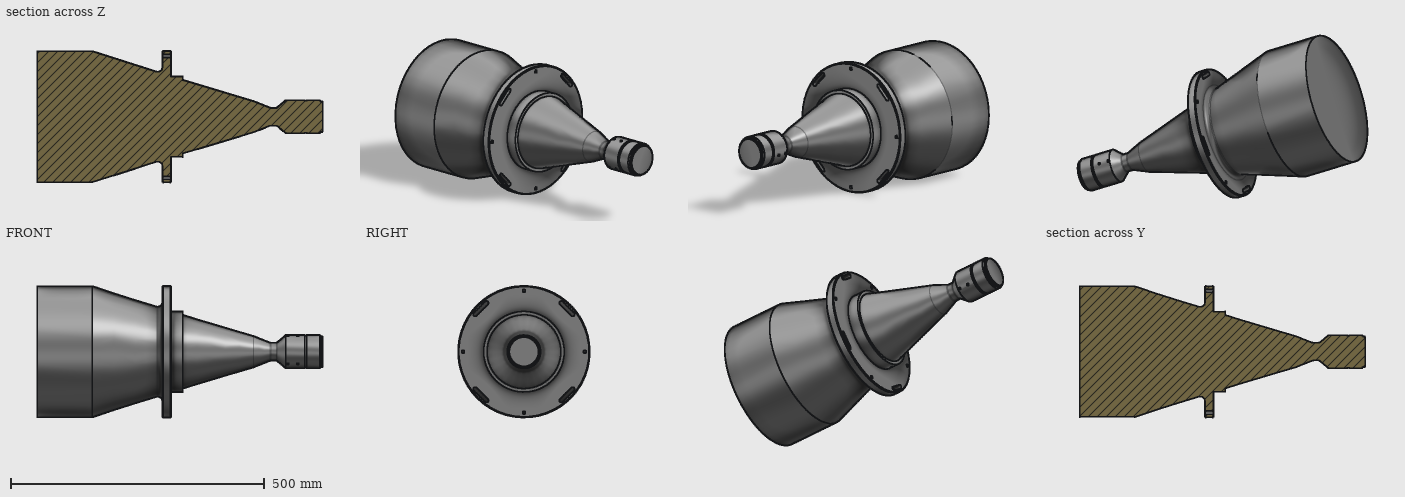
import cadquery as cq
import math

total_length = 564.0

drum_diameter = 259.0
drum_radius = drum_diameter / 2
drum_end = 109.5
waist_radius = 89.0
waist_start = 235.5

flange_diameter = 260.0
flange_radius = flange_diameter / 2
flange_start = 247.0
flange_thickness = 17.5
flange_chamfer = 1.5
waist_fillet = 8.5
flange_end = flange_start + flange_thickness

collar_radius = 79.5
collar_end = 287.5
long_cone_start_radius = 73.0
long_cone_end_radius = 31.0
long_cone_end = 427.0

neck_diameter = 35.5
neck_radius = neck_diameter / 2
neck_start = 460.0
neck_end = 472.5
neck_front_fillet = 5.0
neck_back_fillet = 2.0

knob_diameter = 66.0
knob_radius = knob_diameter / 2
knob_start = 490.5
knob_shoulder = 557.0
tip_radius = 30.5
tip_chamfer = 1.5
groove_start = 528.0
groove_width = 3.5
groove_depth = 1.0

flange_hole_circle_radius = 120.0
slot_width = 8.0
slot_length = 39.5
slot_angles = (45, 135, 225, 315)
pin_hole_diameter = 5.5
pin_hole_angles = (0, 90, 180, 270)

dimple_diameter = 4.0
dimple_depth = 3.5
dimple_ring_positions = (494.0, 513.5)
dimple_angles = (107, 227, 347)


def turned_body():
    """Solid of revolution about X, from the drum to the knob."""
    arc_middle = waist_fillet * math.sqrt(0.5)
    fillet_start = flange_start - waist_fillet
    fillet_top = waist_radius + waist_fillet
    knob_step = knob_radius - tip_radius
    profile = (
        cq.Workplane("XY")
        .moveTo(0, 0)
        .lineTo(0, drum_radius)
        .lineTo(drum_end, drum_radius)
        .lineTo(waist_start, waist_radius)
        .lineTo(fillet_start, waist_radius)
        .threePointArc((fillet_start + arc_middle, fillet_top - arc_middle), (flange_start, fillet_top))
        .lineTo(flange_start, flange_radius - flange_chamfer)
        .lineTo(flange_start + flange_chamfer, flange_radius)
        .lineTo(flange_end - flange_chamfer, flange_radius)
        .lineTo(flange_end, flange_radius - flange_chamfer)
        .lineTo(flange_end, collar_radius)
        .lineTo(collar_end, collar_radius)
        .lineTo(collar_end, long_cone_start_radius)
        .lineTo(long_cone_end, long_cone_end_radius)
        .lineTo(neck_start, neck_radius)
        .lineTo(neck_end, neck_radius)
        .lineTo(knob_start, knob_radius)
        .lineTo(groove_start, knob_radius)
        .lineTo(groove_start, knob_radius - groove_depth)
        .lineTo(groove_start + groove_width, knob_radius - groove_depth)
        .lineTo(groove_start + groove_width, knob_radius)
        .lineTo(knob_shoulder, knob_radius)
        .lineTo(knob_shoulder + knob_step, tip_radius)
        .lineTo(total_length - tip_chamfer, tip_radius)
        .lineTo(total_length, tip_radius - tip_chamfer)
        .lineTo(total_length, 0)
        .close()
    )
    return profile.revolve(360, (0, 0, 0), (1, 0, 0))


def round_neck_corner(body, position, radius):
    """Fillet the circular edge of the neck that lies at the given x."""
    reach = 2 * neck_radius
    margin = 0.5
    corner_box = cq.selectors.BoxSelector(
        (position - margin, -reach, -reach), (position + margin, reach, reach), boundingbox=True
    )
    return body.edges(corner_box).fillet(radius)


def flange_cutter(outline, angle):
    """Extrude an outline through the flange at an angle measured from +Y toward +Z."""
    cutter = outline.extrude(flange_thickness)
    cutter = cutter.translate((flange_start, flange_hole_circle_radius, 0))
    return cutter.rotate((0, 0, 0), (1, 0, 0), angle)


def dimple_cutter(position, angle):
    """Radial pin that reaches dimple_depth below the knob surface."""
    pin = cq.Workplane("XZ", origin=(position, knob_radius + dimple_depth, 0))
    pin = pin.circle(dimple_diameter / 2).extrude(2 * dimple_depth)
    return pin.rotate((0, 0, 0), (1, 0, 0), angle)


result = turned_body()
result = round_neck_corner(result, neck_start, neck_front_fillet)
result = round_neck_corner(result, neck_end, neck_back_fillet)

for angle in slot_angles:
    result = result.cut(flange_cutter(cq.Workplane("YZ").slot2D(slot_length, slot_width, 90), angle))

for angle in pin_hole_angles:
    result = result.cut(flange_cutter(cq.Workplane("YZ").circle(pin_hole_diameter / 2), angle))

for position in dimple_ring_positions:
    for angle in dimple_angles:
        result = result.cut(dimple_cutter(position, angle))